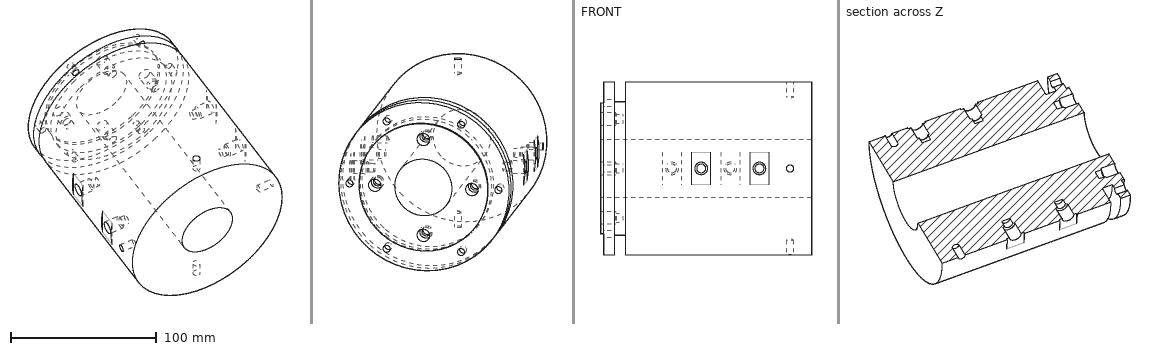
import cadquery as cq
import math

length = 145.0
body_diameter = 119.0
spigot_diameter = 90.0
neck_diameter = 92.0
bore_diameter = 40.0
spigot_length = 2.0
flange_thickness = 7.5
neck_length = 7.4

flange_start = spigot_length
neck_start = flange_start + flange_thickness
body_start = neck_start + neck_length
body_radius = body_diameter / 2

flange_hole_count = 6
flange_hole_diameter = 5.0
flange_hole_circle_radius = 52.0

port_diameter = 8.7
port_core_diameter = 6.1
port_bore_depth = 10.2
port_core_length = 4.4
face_port_count = 4
face_port_circle_radius = 34.0

flat_length = 13.0
flat_depth = 1.0
flat_spacing = 40.0
minus_y_first_flat = 69.0
plus_y_first_flat = 49.0

radial_hole_count = 4
radial_hole_diameter = 5.0
radial_hole_depth = 10.2
radial_hole_end_distance = 15.0

drill_point_angle = 118.0
outside_margin = 1.5


def ring(start, thickness, diameter):
    """Solid disc along X, beginning at X = start."""
    return cq.Workplane("YZ", origin=(start, 0, 0)).circle(diameter / 2).extrude(thickness)


def drill_cone_height(radius_change):
    """Axial height over which a drill point changes its radius by the given amount."""
    return radius_change / math.tan(math.radians(drill_point_angle / 2))


def perpendicular(direction):
    """A vector square to a direction lying along X or in the YZ plane."""
    x, y, z = direction
    return (0, 1, 0) if x else (0, -z, y)


def drill_cutter(profile, mouth, direction):
    """Turn a (radius, depth) profile into a cutter entering at mouth along direction."""
    cutter = cq.Workplane("XZ").polyline(profile).close().revolve(360, (0, 0), (0, 1))
    plane = cq.Plane(origin=mouth, xDir=perpendicular(direction), normal=direction)
    return cutter.val().moved(cq.Location(plane))


def port_cutter(mouth, direction):
    """Cutter for one stepped port."""
    bore_radius = port_diameter / 2
    core_radius = port_core_diameter / 2
    core_start = port_bore_depth + drill_cone_height(bore_radius - core_radius)
    core_bottom = core_start + port_core_length
    profile = [
        (0, 0),
        (bore_radius, 0),
        (bore_radius, port_bore_depth),
        (core_radius, core_start),
        (core_radius, core_bottom),
        (0, core_bottom),
    ]
    return drill_cutter(profile, mouth, direction)


def radial_hole_cutter(mouth, direction):
    """Cutter for one radial hole, starting a little outside the curved surface."""
    radius = radial_hole_diameter / 2
    tip = radial_hole_depth + drill_cone_height(radius)
    profile = [
        (0, -outside_margin),
        (radius, -outside_margin),
        (radius, radial_hole_depth),
        (0, tip),
    ]
    return drill_cutter(profile, mouth, direction)


def circle_points(count, radius):
    """Evenly spaced (y, z) points about the X axis, the first on +Y."""
    angles = [2 * math.pi * index / count for index in range(count)]
    return [(radius * math.cos(angle), radius * math.sin(angle)) for angle in angles]


result = (
    ring(0, length, spigot_diameter)
    .union(ring(flange_start, flange_thickness, body_diameter))
    .union(ring(neck_start, neck_length, neck_diameter))
    .union(ring(body_start, length - body_start, body_diameter))
    .cut(ring(0, length, bore_diameter))
)

flange_holes = (
    cq.Workplane("YZ", origin=(flange_start, 0, 0))
    .pushPoints(circle_points(flange_hole_count, flange_hole_circle_radius))
    .circle(flange_hole_diameter / 2)
    .extrude(flange_thickness)
)
result = result.cut(flange_holes)

for y, z in circle_points(face_port_count, face_port_circle_radius):
    result = result.cut(port_cutter((0, y, z), (1, 0, 0)))

flat_distance = body_radius - flat_depth
for side, first_flat in ((-1, minus_y_first_flat), (1, plus_y_first_flat)):
    for flat_x in (first_flat, first_flat + flat_spacing):
        flat_cutter = cq.Workplane("XY").box(flat_length, 2 * flat_depth, body_diameter)
        result = result.cut(flat_cutter.translate((flat_x, side * body_radius, 0)))
        result = result.cut(port_cutter((flat_x, side * flat_distance, 0), (0, -side, 0)))

radial_hole_x = length - radial_hole_end_distance
for y, z in circle_points(radial_hole_count, 1):
    mouth = (radial_hole_x, y * body_radius, z * body_radius)
    result = result.cut(radial_hole_cutter(mouth, (0, -y, -z)))